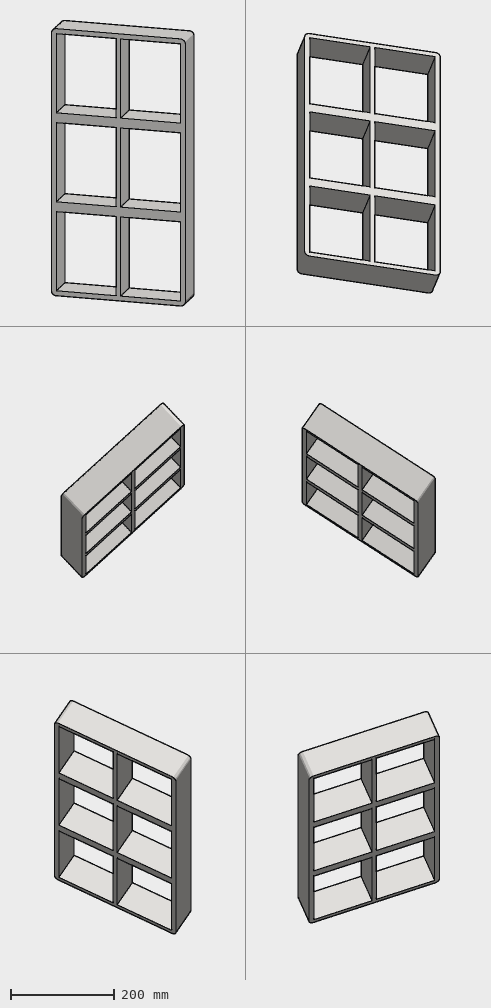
import cadquery as cq

width = 271.0
depth = 60.0
height = 538.5
corner_radius = 10.0

rim = 10.0
upright = 9.0
shelf = 20.0

columns = 2
rows = 3
opening_width = (width - 2 * rim - (columns - 1) * upright) / columns
opening_height = (height - 2 * rim - (rows - 1) * shelf) / rows

block = cq.Workplane("XY").box(width, depth, height).edges("|Y").fillet(corner_radius)

openings = (
    cq.Workplane("XZ")
    .rarray(opening_width + upright, opening_height + shelf, columns, rows)
    .rect(opening_width, opening_height)
    .extrude(depth, both=True)
)

result = block.cut(openings)